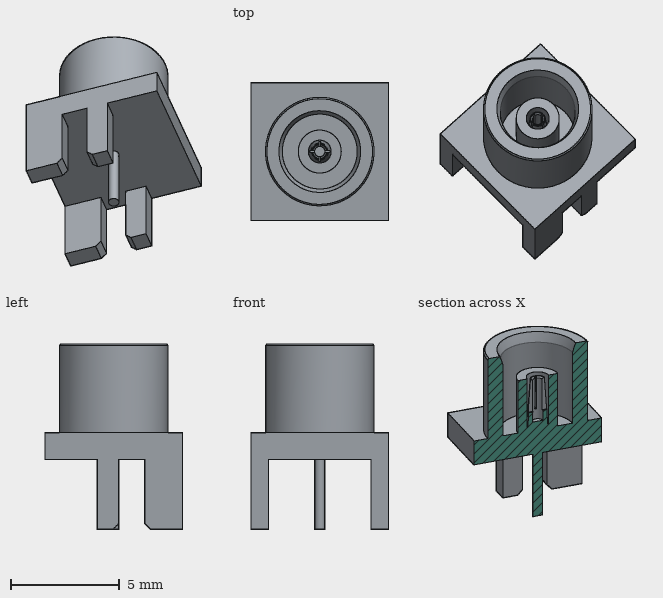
import cadquery as cq

base_width = 6.35
total_height = 8.53
leg_length = 3.2
base_top = 4.44
base_thickness = base_top - leg_length

leg_thickness = 0.82
corner_leg_width = 1.75
middle_leg_front = -0.22
middle_leg_back = 0.77
leg_chamfer = 0.26

barrel_diameter = 5.0
barrel_chamfer = 0.07
bore_diameter = 3.45
bore_mouth_diameter = 3.76
bore_mouth_depth = 0.47

sleeve_diameter = 1.98
sleeve_hole_diameter = 1.05
sleeve_top = total_height - 1.4

contact_top = total_height - 1.5
contact_tip_diameter = 0.7
socket_diameter = 0.48
socket_chamfer = 0.08
slot_width = 0.085
slot_floor = 5.38
socket_floor = 4.87

pin_diameter = 0.48


def cylinder(diameter, bottom, top):
    return cq.Workplane("XY").workplane(offset=bottom).circle(diameter / 2).extrude(top - bottom)


def cone(bottom_diameter, top_diameter, bottom, top):
    return cq.Workplane(
        cq.Solid.makeCone(
            bottom_diameter / 2, top_diameter / 2, top - bottom, cq.Vector(0, 0, bottom)
        )
    )


def leg(side, front, back, chamfered_edge):
    """Leg flush with the base on the given X side, one lower edge chamfered."""
    center_x = side * (base_width - leg_thickness) / 2
    return (
        cq.Workplane("XY")
        .center(center_x, (front + back) / 2)
        .rect(leg_thickness, back - front)
        .extrude(leg_length)
        .faces("<Z")
        .edges(chamfered_edge)
        .chamfer(leg_chamfer)
    )


def make_base():
    base = (
        cq.Workplane("XY")
        .workplane(offset=leg_length)
        .rect(base_width, base_width)
        .extrude(base_thickness)
    )
    corner_leg_front = -base_width / 2
    corner_leg_back = corner_leg_front + corner_leg_width
    for side in (-1, 1):
        base = base.union(leg(side, corner_leg_front, corner_leg_back, ">Y"))
        base = base.union(leg(side, middle_leg_front, middle_leg_back, "<Y"))
    return base


def make_barrel():
    barrel = cylinder(barrel_diameter, base_top, total_height).faces(">Z").chamfer(barrel_chamfer)
    bore = cylinder(bore_diameter, base_top, total_height)
    mouth = cone(bore_diameter, bore_mouth_diameter, total_height - bore_mouth_depth, total_height)
    return barrel.cut(bore).cut(mouth)


def make_sleeve():
    sleeve = cylinder(sleeve_diameter, base_top, sleeve_top)
    return sleeve.cut(cylinder(sleeve_hole_diameter, base_top, sleeve_top))


def make_contact():
    contact = cone(sleeve_hole_diameter, contact_tip_diameter, base_top, contact_top)
    contact = contact.cut(cylinder(socket_diameter, socket_floor, contact_top))
    lead_in_diameter = socket_diameter + 2 * socket_chamfer
    contact = contact.cut(
        cone(socket_diameter, lead_in_diameter, contact_top - socket_chamfer, contact_top)
    )
    slot_height = contact_top - slot_floor
    for length_x, length_y in (
        (sleeve_hole_diameter, slot_width),
        (slot_width, sleeve_hole_diameter),
    ):
        slot = (
            cq.Workplane("XY")
            .workplane(offset=slot_floor)
            .rect(length_x, length_y)
            .extrude(slot_height)
        )
        contact = contact.cut(slot)
    return contact


pin = cylinder(pin_diameter, 0, leg_length)
result = make_base().union(pin).union(make_barrel()).union(make_sleeve()).union(make_contact())